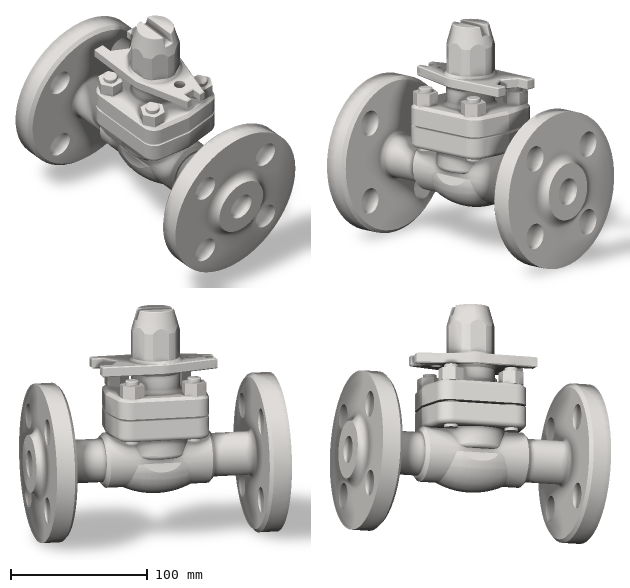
import cadquery as cq
import math


overall_length = 190.0
flange_diameter = 117.0
flange_inner_x = 72.4
flange_outer_x = 88.5
flange_edge_chamfer = 2.5
hub_face_radius = 21.3
pipe_diameter = 32.0
pipe_fillet = 2.5
bore_diameter = 20.0
bore_depth = 60.8
flange_hole_diameter = 19.0
flange_hole_offset = 29.3

body_radius = 20.3
body_half_length = 41.0
body_end_chamfer = 2.7
belly_bottom_z = -26.0
belly_axis_z = -2.8
belly_facet_top_y = 21.3
belly_facet_bottom_y = 27.7
belly_half_length = 25.5
belly_top_half_length = 18.0
neck_radius = 25.0
neck_bottom_z = 3.2
neck_bottom_fillet = 3.0

cover_half_width = 32.9
cover_corner_x = 33.2
cover_middle_x = 37.6
cover_corner_radius = 10.3
body_flange_bottom_z = 18.8
body_flange_top_z = 34.4
body_flange_fillet = 3.2
cover_bottom_z = 36.1
cover_top_z = 51.1
cover_top_chamfer = 2.3
gasket_radius = 20.9

bolt_offset = 23.4
bolt_diameter = 10.0
bolt_bottom_z = 16.7
bolt_top_z = 63.6
bolt_end_chamfer = 0.5
nut_across_flats = 16.2
nut_top_z = 60.5

spindle_radius = 17.95
spindle_top_radius = 13.5
spindle_across_flats = 33.8
spindle_cone_bottom_z = 95.8
spindle_top_z = 111.5
spindle_base_fillet = 3.0
slot_width = 6.8
slot_depth = 7.6
head_edge_fillet = 0.8

lever_bottom_z = 66.1
lever_top_z = 73.7
lever_half_length = 44.8
lever_tail_half_width = 20.1
lever_round_radius = 21.3
lever_taper_start_x = 7.8
lever_tip_half_width = 8.4
lever_edge_chamfer = 0.8
tail_notch_half_width = 12.0
tail_notch_x = -36.0
tail_notch_apex_x = -29.0
tip_slot_half_width = 4.2
tip_slot_x = 37.5
lever_hole_x = 26.8
lever_hole_diameter = 8.4
collar_height = 1.9
collar_radius = 19.8


def cylinder(radius, bottom_z, top_z):
    return cq.Workplane("XY").workplane(offset=bottom_z).circle(radius).extrude(top_z - bottom_z)


def cover_block(bottom_z, top_z):
    """Six-sided block whose X sides come to a shallow ridge at Y = 0."""
    outline = [
        (cover_corner_x, -cover_half_width),
        (cover_middle_x, 0),
        (cover_corner_x, cover_half_width),
        (-cover_corner_x, cover_half_width),
        (-cover_middle_x, 0),
        (-cover_corner_x, -cover_half_width),
    ]
    block = cq.Workplane("XY").workplane(offset=bottom_z).polyline(outline).close().extrude(top_z - bottom_z)
    return block.edges("|Z and (<Y or >Y)").fillet(cover_corner_radius)


def end_flange():
    """Flange with hub and pipe on the +X side, revolved about the flow line."""
    end_x = overall_length / 2
    hub_round = end_x - flange_outer_x
    flange_radius = flange_diameter / 2
    pipe_radius = pipe_diameter / 2
    diagonal = math.sqrt(0.5)
    profile = (
        cq.Workplane("XY")
        .lineTo(end_x, 0)
        .lineTo(end_x, hub_face_radius)
        .threePointArc(
            (end_x - hub_round * diagonal, hub_face_radius + hub_round * (1 - diagonal)),
            (flange_outer_x, hub_face_radius + hub_round),
        )
        .lineTo(flange_outer_x, flange_radius)
        .lineTo(flange_inner_x + flange_edge_chamfer, flange_radius)
        .lineTo(flange_inner_x, flange_radius - flange_edge_chamfer)
        .lineTo(flange_inner_x, pipe_radius + pipe_fillet)
        .threePointArc(
            (flange_inner_x - pipe_fillet * (1 - diagonal), pipe_radius + pipe_fillet * (1 - diagonal)),
            (flange_inner_x - pipe_fillet, pipe_radius),
        )
        .lineTo(0, pipe_radius)
        .close()
    )
    flange = profile.revolve(360, (0, 0, 0), (1, 0, 0))
    bolt_holes = (
        cq.Workplane("YZ")
        .rect(2 * flange_hole_offset, 2 * flange_hole_offset, forConstruction=True)
        .vertices()
        .circle(flange_hole_diameter / 2)
        .extrude(end_x)
    )
    return flange.cut(bolt_holes)


def belly():
    """Barrel bulge below the flow line, narrowing upwards, with a steep facet on each side."""
    barrel = (
        cq.Workplane("XZ")
        .moveTo(-belly_half_length, belly_axis_z)
        .lineTo(-belly_half_length, -body_radius)
        .threePointArc((0, belly_bottom_z), (belly_half_length, -body_radius))
        .lineTo(belly_half_length, belly_axis_z)
        .close()
        .revolve(360, (0, belly_axis_z, 0), (1, belly_axis_z, 0))
    )
    side_limit = (
        cq.Workplane("XZ")
        .polyline(
            [
                (-belly_top_half_length, 0),
                (belly_top_half_length, 0),
                (belly_half_length, -body_radius),
                (belly_half_length, belly_bottom_z),
                (-belly_half_length, belly_bottom_z),
                (-belly_half_length, -body_radius),
            ]
        )
        .close()
        .extrude(belly_facet_bottom_y, both=True)
    )
    facet_limit = (
        cq.Workplane("YZ")
        .polyline(
            [
                (-belly_facet_top_y, 0),
                (belly_facet_top_y, 0),
                (belly_facet_bottom_y, belly_bottom_z),
                (-belly_facet_bottom_y, belly_bottom_z),
            ]
        )
        .close()
        .extrude(belly_half_length, both=True)
    )
    return barrel.intersect(side_limit).intersect(facet_limit)


def valve_body():
    """Tube along the flow line with the belly below and the neck and bolted flange above."""
    tube = cq.Workplane("YZ").circle(body_radius).extrude(body_half_length, both=True)
    tube = tube.faces("<X or >X").edges().chamfer(body_end_chamfer)
    neck = cylinder(neck_radius, neck_bottom_z, body_flange_top_z)
    neck = neck.faces("<Z").edges().fillet(neck_bottom_fillet)
    body_flange = cover_block(body_flange_bottom_z, body_flange_top_z)
    body_flange = body_flange.faces("<Z").edges().fillet(body_flange_fillet)
    return tube.union(belly()).union(neck).union(body_flange)


def cover():
    block = cover_block(cover_bottom_z, cover_top_z).faces(">Z").edges().chamfer(cover_top_chamfer)
    gasket = cylinder(gasket_radius, body_flange_top_z, cover_bottom_z)
    return block.union(gasket)


def bolt_and_nut():
    bolt = cylinder(bolt_diameter / 2, bolt_bottom_z, bolt_top_z).faces(">Z").edges().chamfer(bolt_end_chamfer)
    nut = (
        cq.Workplane("XY")
        .workplane(offset=cover_top_z)
        .polygon(6, nut_across_flats, circumscribed=True)
        .extrude(nut_top_z - cover_top_z)
    )
    return bolt.union(nut)


def spindle():
    """Round spindle with a flared foot, six flats, a tapered head and a driver slot."""
    shape = (
        cq.Workplane("XZ")
        .moveTo(0, cover_top_z)
        .lineTo(spindle_radius + spindle_base_fillet, cover_top_z)
        .radiusArc((spindle_radius, cover_top_z + spindle_base_fillet), spindle_base_fillet)
        .lineTo(spindle_radius, spindle_cone_bottom_z)
        .lineTo(spindle_top_radius, spindle_top_z)
        .lineTo(0, spindle_top_z)
        .close()
        .revolve(360, (0, 0, 0), (0, 1, 0))
    )
    grip_height = spindle_top_z - lever_top_z
    hexagon = (
        cq.Workplane("XY")
        .workplane(offset=lever_top_z)
        .transformed(rotate=(0, 0, 30))
        .polygon(6, spindle_across_flats, circumscribed=True)
        .extrude(grip_height)
    )
    flat_waste = cylinder(2 * spindle_radius, lever_top_z, spindle_top_z).cut(hexagon)
    slot = (
        cq.Workplane("XY")
        .workplane(offset=spindle_top_z - slot_depth)
        .rect(4 * spindle_radius, slot_width)
        .extrude(slot_depth)
    )
    head_edges = cq.selectors.BoxSelector(
        (-spindle_radius, -spindle_radius, spindle_top_z - slot_depth * 0.9),
        (spindle_radius, spindle_radius, spindle_top_z + slot_depth),
    )
    return shape.cut(flat_waste).cut(slot).edges(head_edges).fillet(head_edge_fillet)


def lever():
    """Flat plate with a notched tail, a round middle and a tapered, slotted tip."""
    arc_end_y = math.sqrt(lever_round_radius**2 - lever_taper_start_x**2)
    arc_middle_x = lever_taper_start_x / 2
    arc_middle_y = math.sqrt(lever_round_radius**2 - arc_middle_x**2)
    plate = (
        cq.Workplane("XY")
        .workplane(offset=lever_bottom_z)
        .moveTo(tail_notch_apex_x, 0)
        .lineTo(tail_notch_x, tail_notch_half_width)
        .lineTo(-lever_half_length, tail_notch_half_width)
        .lineTo(-lever_half_length, lever_tail_half_width)
        .lineTo(0, lever_round_radius)
        .threePointArc((arc_middle_x, arc_middle_y), (lever_taper_start_x, arc_end_y))
        .lineTo(lever_half_length, lever_tip_half_width)
        .lineTo(lever_half_length, tip_slot_half_width)
        .lineTo(tip_slot_x, tip_slot_half_width)
        .lineTo(tip_slot_x, 0)
        .mirrorX()
        .extrude(lever_top_z - lever_bottom_z)
        .faces("<Z or >Z")
        .edges()
        .chamfer(lever_edge_chamfer)
    )
    hole = cylinder(lever_hole_diameter / 2, lever_bottom_z, lever_top_z).translate((lever_hole_x, 0, 0))
    return plate.cut(hole)


def lever_collars():
    """Tapered rings that join the spindle to both faces of the lever."""
    profile = (
        cq.Workplane("XZ")
        .polyline(
            [
                (0, lever_bottom_z - collar_height),
                (spindle_radius, lever_bottom_z - collar_height),
                (collar_radius, lever_bottom_z),
                (collar_radius, lever_top_z),
                (spindle_radius, lever_top_z + collar_height),
                (0, lever_top_z + collar_height),
            ]
        )
        .close()
    )
    return profile.revolve(360, (0, 0, 0), (0, 1, 0))


result = valve_body().union(cover())
result = result.union(end_flange()).union(end_flange().mirror("YZ"))
for bolt_x in (-bolt_offset, bolt_offset):
    for bolt_y in (-bolt_offset, bolt_offset):
        result = result.union(bolt_and_nut().translate((bolt_x, bolt_y, 0)))
result = result.union(spindle()).union(lever()).union(lever_collars())

bore_start_x = overall_length / 2 - bore_depth
bore = cq.Workplane("YZ").workplane(offset=bore_start_x).circle(bore_diameter / 2).extrude(bore_depth)
result = result.cut(bore).cut(bore.mirror("YZ"))